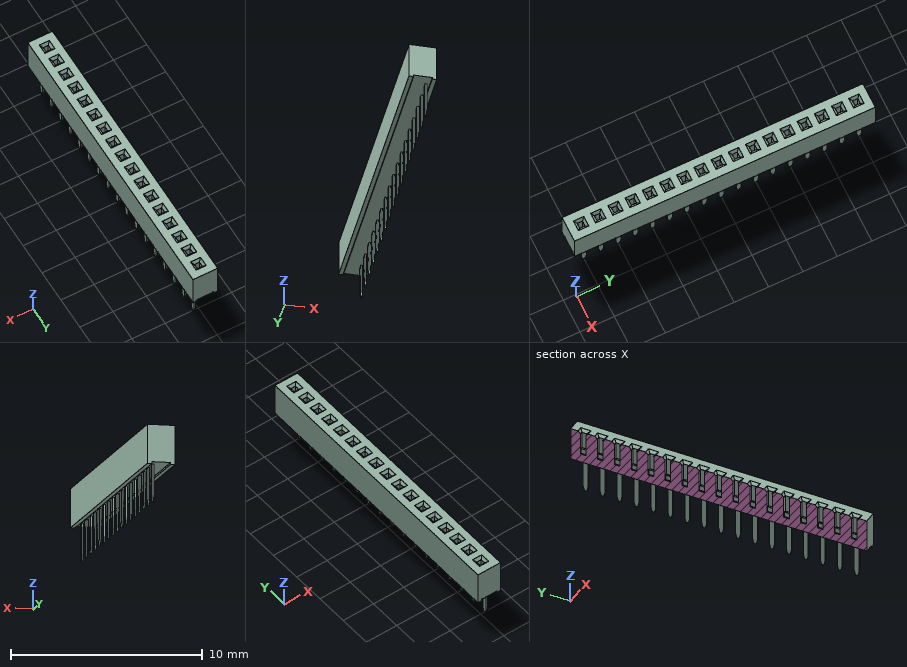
import cadquery as cq

contact_count = 17
pitch = 1.0
body_width = 1.5
overall_length = 17.5
overall_height = 4.0

rail_width = 0.25
rail_height = 0.1

body_height = 2.0
pin_length = overall_height - body_height

socket_mouth = 0.6
well_size = 0.3
funnel_depth = 0.15
well_depth = 1.0
slot_width = 0.1
slot_depth = 0.3

pin_width = 0.3
pin_thickness = 0.1
pin_offset_x = 0.3
pin_tip_width = 0.15
pin_tip_length = 0.3

contact_span = pitch * (contact_count - 1)
contact_ys = [i * pitch - contact_span / 2 for i in range(contact_count)]


def make_body():
    """Plain rectangular housing with its underside at Z = 0."""
    return cq.Workplane("XY").box(
        body_width, overall_length, body_height, centered=(True, True, False)
    )


def make_rail(side):
    """Standoff rail flush with the +X or -X face (side = +1 or -1)."""
    center_x = side * (body_width - rail_width) / 2
    return cq.Workplane("XY").box(
        rail_width, overall_length, rail_height, centered=(True, True, False)
    ).translate((center_x, 0, -rail_height))


def make_socket(y):
    """Cutting tool for one socket: tapered funnel, straight well and floor slot."""
    funnel = (
        cq.Workplane("XY", origin=(0, y, body_height))
        .rect(socket_mouth, socket_mouth)
        .workplane(offset=-funnel_depth)
        .rect(well_size, well_size)
        .loft(ruled=True)
    )
    well = (
        cq.Workplane("XY", origin=(0, y, body_height))
        .rect(well_size, well_size)
        .extrude(-(funnel_depth + well_depth))
    )
    slot = (
        cq.Workplane("XY", origin=(0, y, body_height))
        .rect(slot_width, well_size)
        .extrude(-(funnel_depth + well_depth + slot_depth))
    )
    return funnel.union(well).union(slot)


def make_pin(y):
    """Flat pin with a tapered tip, hanging below the housing."""
    half_width = pin_width / 2
    half_tip = pin_tip_width / 2
    shoulder_z = pin_tip_length - pin_length
    outline = [
        (-half_width, 0),
        (-half_width, shoulder_z),
        (-half_tip, -pin_length),
        (half_tip, -pin_length),
        (half_width, shoulder_z),
        (half_width, 0),
    ]
    return (
        cq.Workplane("YZ", origin=(pin_offset_x, y, 0))
        .polyline(outline)
        .close()
        .extrude(pin_thickness / 2, both=True)
    )


result = make_body()
for side in (-1, 1):
    result = result.union(make_rail(side))
for contact_y in contact_ys:
    result = result.cut(make_socket(contact_y))
    result = result.union(make_pin(contact_y))